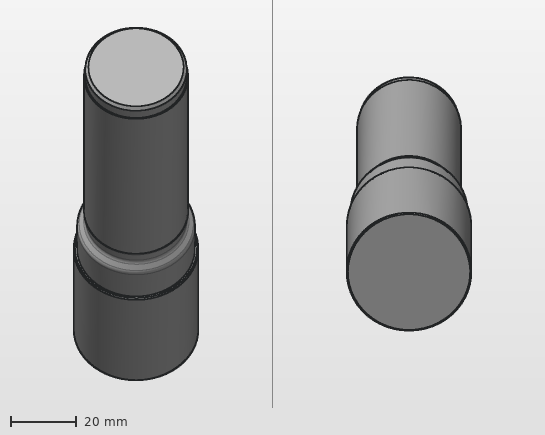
import cadquery as cq
import math

total_height = 139.7
collar_height = 43.6
neck_bottom = 59.4
neck_top = 62.2
pilot_length = 4.7

collar_radius = 19.07
shoulder_radius = 18.0
shank_radius = 15.9
neck_radius = 15.5
pilot_radius = 15.5

collar_chamfer = 0.4
pilot_chamfer = 1.0
shank_chamfer = 0.3

blend_radius = 2.0
cone_angle = math.radians(45)

blend_width = blend_radius * (1 - math.cos(cone_angle))
blend_rise = blend_radius * math.sin(cone_angle)

cone_inner_radius = neck_radius + blend_width
cone_outer_radius = shoulder_radius - blend_width
cone_top = neck_bottom - blend_rise
cone_bottom = cone_top - (cone_outer_radius - cone_inner_radius) / math.tan(cone_angle)
shoulder_top = cone_bottom - blend_rise

runout_width = shank_radius - shank_chamfer - neck_radius
runout_top = neck_top + math.sqrt(blend_radius**2 - (blend_radius - runout_width) ** 2)

shank_bottom = runout_top + shank_chamfer
pilot_bottom = total_height - pilot_length


def make_collar():
    """Plain cylinder with both rims chamfered."""
    collar = cq.Workplane("XY").circle(collar_radius).extrude(collar_height)
    return collar.faces("<Z or >Z").edges().chamfer(collar_chamfer)


def make_pin():
    """Turned pin standing on the collar: shoulder, neck, shank and pilot end."""
    profile = (
        cq.Workplane("XZ")
        .moveTo(0, collar_height)
        .lineTo(shoulder_radius, collar_height)
        .lineTo(shoulder_radius, shoulder_top)
        .radiusArc((cone_outer_radius, cone_bottom), -blend_radius)
        .lineTo(cone_inner_radius, cone_top)
        .radiusArc((neck_radius, neck_bottom), blend_radius)
        .lineTo(neck_radius, neck_top)
        .radiusArc((neck_radius + runout_width, runout_top), blend_radius)
        .lineTo(shank_radius, shank_bottom)
        .lineTo(shank_radius, pilot_bottom)
        .lineTo(pilot_radius, pilot_bottom)
        .lineTo(pilot_radius, total_height - pilot_chamfer)
        .lineTo(pilot_radius - pilot_chamfer, total_height)
        .lineTo(0, total_height)
        .close()
    )
    return profile.revolve(360, (0, 0, 0), (0, 1, 0))


collar = make_collar()
pin = make_pin()

result = cq.Compound.makeCompound([collar.val(), pin.val()])